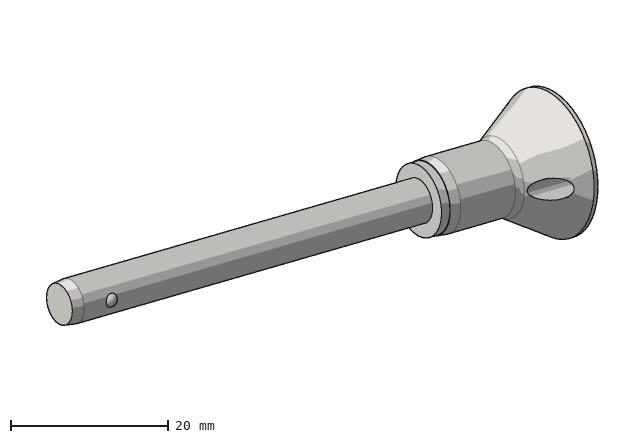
import cadquery as cq

total_length = 78.0
handle_length = 21.05
shank_length = total_length - handle_length

rim_radius = 10.0
rim_thickness = 0.6
body_radius = 5.15
cone_end = 12.2
neck_blend_radius = 2.35
body_taper_start = 2.9
collar_length = 1.3
body_end_radius = 5.0
collar_radius = 4.9

shank_radius = 3.0
tip_length = 1.7
tip_radius = 2.77

ball_radius = 1.0
ball_reach = 3.5
ball_from_tip = 6.1

hole_diameter = 3.05
hole_offset = 7.2


def make_handle():
    """Turned handle: flared rim, blended neck, tapered body end and collar."""
    profile = [
        (0, 0),
        (collar_radius, 0),
        (collar_radius, collar_length),
        (body_end_radius, collar_length),
        (body_radius, body_taper_start),
        (body_radius, cone_end),
        (rim_radius, handle_length - rim_thickness),
        (rim_radius, handle_length),
        (0, handle_length),
    ]
    handle = cq.Workplane("XY").polyline(profile).close().revolve(360, (0, 0, 0), (0, 1, 0))
    pick_reach = body_radius + neck_blend_radius
    neck_box = cq.selectors.BoxSelector(
        (-pick_reach, cone_end - collar_length, -pick_reach),
        (pick_reach, cone_end + collar_length, pick_reach),
    )
    neck_edge = handle.edges("%CIRCLE").edges(neck_box)
    return neck_edge.fillet(neck_blend_radius)


def make_shank():
    """Straight shank with a slightly tapered tip, joined to the shoulder."""
    profile = [
        (0, -shank_length),
        (tip_radius, -shank_length),
        (shank_radius, tip_length - shank_length),
        (shank_radius, collar_length),
        (0, collar_length),
    ]
    return cq.Workplane("XY").polyline(profile).close().revolve(360, (0, 0, 0), (0, 1, 0))


def make_ball(side):
    """Locking ball partly sunk in the shank on the given X side."""
    center = (side * (ball_reach - ball_radius), ball_from_tip - shank_length, 0)
    return cq.Workplane("XY").sphere(ball_radius).translate(center)


def make_lanyard_hole():
    """Cutter for the hole parallel to the pin axis, through the flare only."""
    return (
        cq.Workplane("XZ", origin=(hole_offset, handle_length, 0))
        .circle(hole_diameter / 2)
        .extrude(handle_length)
    )


result = make_handle().cut(make_lanyard_hole()).union(make_shank())
for side in (-1, 1):
    result = result.union(make_ball(side))